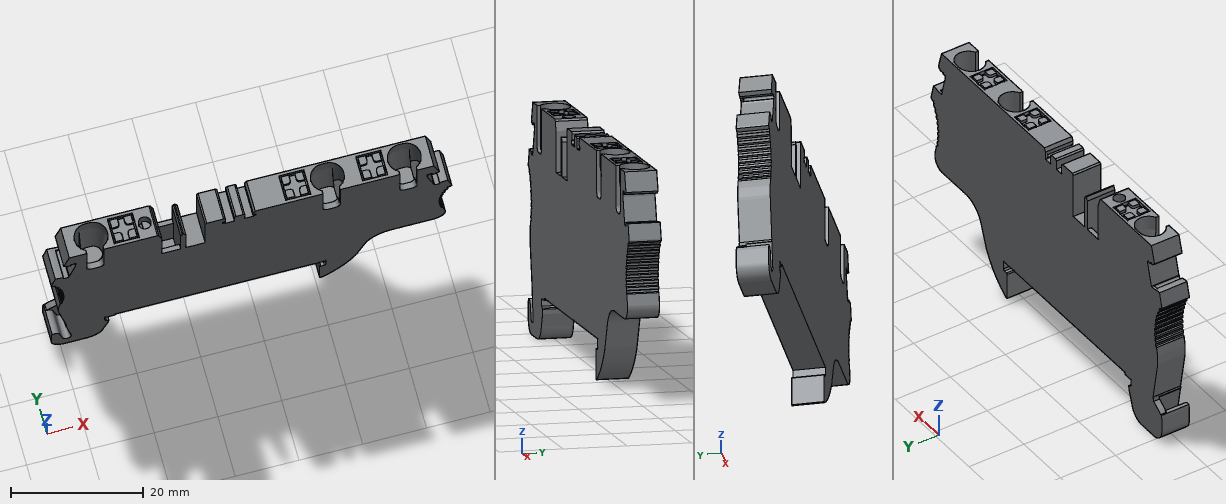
import cadquery as cq
import math

length = 62.8
thickness = 5.0
height = 36.0

grip_radius = 10.6
grip_inset = 1.75
grip_center_z = 20.1
grip_top_z = 25.5
grip_pitch = 0.95
grip_groove_count = 9
grip_groove_width = 0.55
grip_groove_depth = 0.22
grip_groove_flank = 0.1

lip_x = 1.95
lip_z = 33.0
notch_top_z = 32.35
notch_floor_z = 28.2
notch_top_x = 3.85
notch_floor_x = 2.8

bridge_left = 17.35
bridge_right = 24.1
bridge_floor_z = 27.9
blade_left = 20.3
blade_right = 21.1
blade_shoulder_z = 33.3
blade_tip_z = 33.9
bridge_pocket_margin = 0.75
bridge_pocket_depth = 6.3

groove_left = 27.3
groove_right = 31.65
groove_floor_z = 34.0
rib_left = 28.7
rib_right = 30.35
rib_top_z = 35.8
rib_corner = 0.25
top_corner = 0.3

rail_z = 7.1
rail_left = 8.4
rail_right = 43.1

latch_web = 0.45
latch_length = 0.9
latch_height = 0.55
notch_undercut_top_x = 3.45
notch_undercut_top_z = 32.6
notch_undercut_floor_x = 2.3
notch_undercut_floor_z = 28.1
groove_undercut_z = 34.4
foot_web = 1.05

funnel_xs = (6.9, 44.0, 56.05)
funnel_radius = 2.2
funnel_flat = 0.75
funnel_straight_depth = 2.5
funnel_floor_z = 27.95
funnel_floor_radius = 1.4
ramp_floor_offset = 1.3
ramp_top_z = 31.0
front_slot_width = 2.7
front_slot_depth = 1.1
front_slot_floor_z = 28.9
front_slot_corner = 0.9

button_xs = (12.0, 38.9, 50.95)
button_length = 3.9
button_width = 4.1
button_gap = 0.25
button_gap_depth = 0.6
cross_arm = 0.95
cross_depth = 0.5
pad_corner = 0.5

test_hole_x = 15.3
test_hole_diameter = 1.95
test_hole_depth = 2.5
test_hole_step = 0.6
test_hole_step_x = 15.1


def grip_x(z):
    """Distance of the grip arc from the end of the part at height z."""
    rise = z - grip_center_z
    return grip_inset - grip_radius + math.sqrt(grip_radius ** 2 - rise ** 2)


def grip_points():
    """Grip grooves from top to bottom, for the left end."""
    points = []
    for i in range(grip_groove_count):
        upper_z = grip_top_z - i * grip_pitch
        lower_z = upper_z - grip_groove_width
        root_upper_z = upper_z - grip_groove_flank
        root_lower_z = lower_z + grip_groove_flank
        points += [
            (grip_x(upper_z), upper_z),
            (grip_x(root_upper_z) + grip_groove_depth, root_upper_z),
            (grip_x(root_lower_z) + grip_groove_depth, root_lower_z),
            (grip_x(lower_z), lower_z),
        ]
    return points


def end_points():
    """Points of the left end from the top edge down through the label notch and the grip."""
    notch = [
        (2.8, height),
        (lip_x, lip_z),
        (2.5, 32.55),
        (3.15, 32.55),
        (3.2, notch_top_z),
        (notch_top_x, notch_top_z),
        (notch_top_x, 31.9),
        (notch_floor_x, notch_floor_z),
        (2.0, notch_floor_z),
        (1.45, 28.35),
        (1.05, 28.4),
        (0.6, 28.4),
        (0, 25.95),
        (0, 25.7),
    ]
    return notch + grip_points()


def mirrored(points):
    """The same points for the right end, listed from bottom to top."""
    return [(length - x, z) for x, z in reversed(points)]


def follow(sketch, points):
    """Continue the sketch with straight lines through the points."""
    for point in points:
        sketch = sketch.lineTo(*point)
    return sketch


def front_plane():
    """Plane on the front face, with X right, Z up and negative extrusion into the part."""
    return cq.Workplane("XZ")


def make_body():
    """Extrude the whole outline, drawn counterclockwise from the top left corner."""
    left_end = end_points()
    outline = front_plane().moveTo(*left_end[0])
    outline = follow(outline, left_end[1:])

    outline = follow(outline, [
        (1.4, 17.15), (1.25, 16.6), (1.1, 15.9), (1.1, 14.3), (1.2, 13.9), (2.4, 7.3), (2.2, 6.6),
        (1.6, 6.15), (0.95, 5.8), (0.3, 5.3), (0.1, 5.2), (0, 4.6), (0, 2.1),
    ])
    outline = outline.threePointArc((0.55, 0.7), (1.95, 0)).lineTo(5.65, 0)
    outline = outline.threePointArc((7.35, 0.75), (8.15, 2.25)).lineTo(8.9, 4.4)
    outline = follow(outline, [
        (9.05, 5.2), (8.7, 5.35), (rail_left, 5.6), (rail_left, 6.7), (10.0, 6.7), (10.1, rail_z),
    ])

    outline = follow(outline, [
        (rail_right, rail_z), (rail_right, 5.65), (42.85, 5.4), (42.3, 5.4), (42.1, 5.2),
        (42.1, 0.6), (42.45, 0.6),
    ])
    outline = outline.threePointArc((45.75, 3.4), (47.8, 6.55)).lineTo(49.2, 10.25)
    outline = outline.threePointArc((50.65, 12.3), (53.2, 13.3)).lineTo(59.9, 13.3)
    outline = outline.threePointArc((61.2, 13.9), (61.8, 15.6))

    outline = follow(outline, mirrored(left_end))
    outline = follow(outline, [
        (32.0, height), (groove_right, height - 2 * top_corner), (groove_right, groove_floor_z),
        (rib_right, groove_floor_z), (rib_right, rib_top_z - rib_corner), (rib_right - rib_corner, rib_top_z),
        (rib_left + rib_corner, rib_top_z), (rib_left, rib_top_z - rib_corner), (rib_left, groove_floor_z),
        (groove_left, groove_floor_z), (groove_left, height - top_corner), (groove_left - top_corner, height),
        (bridge_right + rib_corner, height), (bridge_right, height - rib_corner),
        (bridge_right, bridge_floor_z), (blade_right, bridge_floor_z),
        (blade_right, blade_shoulder_z), (20.7, blade_tip_z), (20.55, blade_tip_z),
        (blade_left, blade_shoulder_z), (blade_left, bridge_floor_z), (bridge_left, bridge_floor_z),
        (bridge_left, 34.25), (16.9, 35.7), (16.65, height),
    ])
    return outline.close().extrude(-thickness)


def latch_undercuts():
    """Round-ended undercuts in the label notches and the marker grooves."""
    centers = [
        (notch_undercut_top_x, notch_undercut_top_z),
        (notch_undercut_floor_x, notch_undercut_floor_z),
        (length - notch_undercut_top_x, notch_undercut_top_z),
        (length - notch_undercut_floor_x, notch_undercut_floor_z),
        (groove_left, groove_undercut_z),
        (groove_right, groove_undercut_z),
    ]
    bars = front_plane().pushPoints(centers).slot2D(latch_length, latch_height)
    return bars.extrude(-(thickness - latch_web))


def foot_slot():
    """Tapered slot behind the hooked toe, open at the top left."""
    slot = front_plane().moveTo(2.4, 6.9).lineTo(3.1, 2.9)
    slot = slot.threePointArc((2.7, 2.0), (1.8, 2.45)).lineTo(1.3, 4.4)
    slot = slot.threePointArc((1.0, 5.0), (0.55, 5.2)).lineTo(0, 5.2).lineTo(0, 6.9).close()
    return slot.extrude(-(thickness - foot_web))


def bridge_pocket():
    """Pocket in the bridge slot floor, on the -X side of the blade."""
    width = thickness - 2 * bridge_pocket_margin
    return cq.Workplane("XY").box(
        blade_left - bridge_left, width, bridge_pocket_depth, centered=False,
    ).translate((bridge_left, bridge_pocket_margin, bridge_floor_z - bridge_pocket_depth))


def wire_funnel(x, ramp_side):
    """Wire entry with a flat ramp on its -X side (ramp_side -1) or +X side (ramp_side 1)."""
    mouth_length = funnel_flat + 2 * funnel_radius
    taper_top_z = height - funnel_straight_depth
    taper_depth = taper_top_z - funnel_floor_z
    taper_angle = math.degrees(math.atan((funnel_radius - funnel_floor_radius) / taper_depth))
    mouth = cq.Workplane("XY", origin=(x, thickness / 2, height)).slot2D(mouth_length, 2 * funnel_radius)
    mouth = mouth.extrude(-funnel_straight_depth)
    taper = cq.Workplane("XY", origin=(x, thickness / 2, taper_top_z)).slot2D(mouth_length, 2 * funnel_radius)
    taper = taper.extrude(-taper_depth, taper=taper_angle)

    ramp_foot = ramp_side * ramp_floor_offset
    ramp_end = ramp_side * mouth_length / 2
    side_plane = cq.Workplane("XZ", origin=(x, thickness / 2, 0))
    taper_limit = side_plane.polyline([
        (-ramp_end, funnel_floor_z),
        (ramp_foot, funnel_floor_z),
        (ramp_foot, taper_top_z),
        (-ramp_end, taper_top_z),
    ]).close().extrude(funnel_radius, both=True)
    above_ramp = side_plane.polyline([
        (ramp_foot, funnel_floor_z),
        (ramp_end, ramp_top_z),
        (ramp_end, taper_top_z),
        (ramp_foot, taper_top_z),
    ]).close().extrude(funnel_radius, both=True)
    wall = cq.Workplane("XY", origin=(x, thickness / 2, 0)).slot2D(mouth_length, 2 * funnel_radius)
    wall = wall.extrude(height)
    taper = taper.intersect(taper_limit)
    ramp = wall.intersect(above_ramp)

    slot = cq.Workplane("XY").box(
        front_slot_width, front_slot_depth, height - front_slot_floor_z, centered=(True, False, False),
    )
    slot = slot.edges("|Y and <Z").fillet(front_slot_corner).translate((x, 0, front_slot_floor_z))
    return mouth.union(taper).union(ramp).union(slot)


def release_button(x):
    """Gap around a square button and the cross recessed in its top."""
    top = cq.Workplane("XY", origin=(x, thickness / 2, height))
    inner_length = button_length - 2 * button_gap
    inner_width = button_width - 2 * button_gap
    gap = top.rect(button_length, button_width).rect(inner_length, inner_width).extrude(-button_gap_depth)
    cross = top.rect(inner_length, cross_arm).extrude(-cross_depth)
    cross = cross.union(top.rect(cross_arm, inner_width).extrude(-cross_depth))
    middle = cq.selectors.BoxSelector(
        (x - cross_arm, thickness / 2 - cross_arm, 0),
        (x + cross_arm, thickness / 2 + cross_arm, height),
    )
    cross = cross.edges("|Z").edges(middle).fillet(pad_corner)
    return gap.union(cross)


def test_hole():
    """Round blind hole whose floor has a raised ledge on its +X side."""
    top = cq.Workplane("XY", origin=(test_hole_x, thickness / 2, height))
    hole = top.circle(test_hole_diameter / 2).extrude(-test_hole_depth)
    ledge = cq.Workplane("XY", origin=(test_hole_step_x, thickness / 2, height - test_hole_depth))
    ledge = ledge.box(test_hole_diameter, test_hole_diameter, test_hole_step, centered=(False, True, False))
    return hole.cut(ledge)


result = make_body()
result = result.cut(latch_undercuts()).cut(foot_slot()).cut(bridge_pocket()).cut(test_hole())
for funnel_x in funnel_xs:
    result = result.cut(wire_funnel(funnel_x, -1 if funnel_x < length / 2 else 1))
for button_x in button_xs:
    result = result.cut(release_button(button_x))